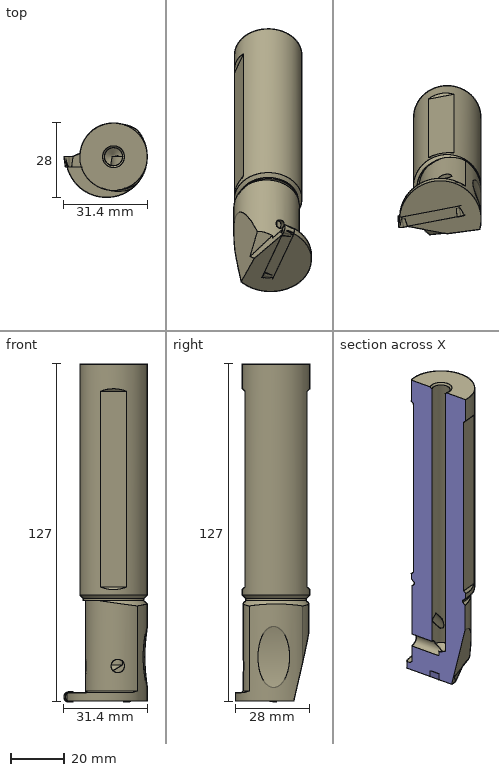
import cadquery as cq
import math

overall_length = 127.0

shank_radius = 12.7
shank_bottom = 40.2
flat_distance = 11.72
flat_bottom = 43.3
flat_top = 116.8
flat_ramp = shank_radius - flat_distance

groove_radius = 11.4
groove_top = shank_bottom - (shank_radius - groove_radius)
groove_bottom = 38.2
groove_clear = 20.0

disc_radius = 15.33
disc_x = -2.63
disc_bottom = 0.45
disc_top = 3.6
neck_radius = 12.35
neck_x = 1.75
neck_chamfer = 0.7

relief_x = 11.0
relief_y = 6.7
relief_rise_z = 0.24
relief_rise_x = 0.06

scoop_radius = 55.0
scoop_floor_x = 11.5
scoop_z = 17.0
scoop_turn = -3.4

gullet_start = (-14.5, 0.5)
gullet_slope = 0.41
gullet_roof = [
    cq.Vector(-10.5, 2.1, 4.9),
    cq.Vector(-8.6, 6.6, 7.5),
    cq.Vector(-0.6, 6.2, 3.9),
]

insert_tip_x = -18.69
insert_tail_x = 7.2
insert_width = 3.95
insert_face_y = 0.1
insert_base_y = -3.9
insert_relief = 8.0
insert_head_length = 3.5
insert_bar_top = 3.0

seat_step = 0.2

bore_radius = 3.4
bore_bottom = 14.0
bore_chamfer = 0.7
drill_point = 59.0
side_hole_radius = 2.5
side_hole_x = 1.6
side_hole_z = 13.6
nozzle_radius = 1.6
nozzle_exit = cq.Vector(-10.6, -0.9, 13.0)
nozzle_angle = 51.0
nozzle_drift = -0.15

reach = 60.0


def half_space(point, normal):
    """A large block on the side of a plane that its normal points to."""
    plane = cq.Plane(origin=point.toTuple(), normal=normal.toTuple())
    return cq.Workplane(plane).rect(2 * reach, 2 * reach).extrude(reach)


def cylinder(x, radius, bottom, top):
    """An upright cylinder with its axis on the XZ plane."""
    return cq.Workplane("XY", origin=(x, 0, bottom)).circle(radius).extrude(top - bottom)


def make_shank():
    shank = cylinder(0, shank_radius, groove_bottom, overall_length)
    flat_cutter = (
        cq.Workplane("YZ")
        .moveTo(flat_distance, flat_bottom)
        .lineTo(shank_radius, flat_bottom - flat_ramp)
        .lineTo(shank_radius, flat_top + flat_ramp)
        .lineTo(flat_distance, flat_top)
        .close()
        .extrude(shank_radius, both=True)
    )
    for turn in (0, 180):
        shank = shank.cut(flat_cutter.rotate((0, 0, 0), (0, 0, 1), turn))
    return shank


def make_head():
    disc_column = cylinder(disc_x, disc_radius, disc_bottom, shank_bottom)
    disc = cylinder(disc_x, disc_radius, disc_bottom, disc_top)
    neck = cylinder(neck_x, neck_radius, disc_bottom, shank_bottom)
    foot = cq.Workplane("XY").add(
        cq.Solid.makeCone(
            neck_radius + neck_chamfer, neck_radius, neck_chamfer, cq.Vector(neck_x, 0, disc_top)
        )
    )
    seat = (
        cq.Workplane("XY", origin=(0, insert_base_y, disc_top - seat_step))
        .rect(reach, reach)
        .extrude(neck_chamfer + seat_step)
        .translate((-reach / 2, reach / 2, 0))
    )
    skirt = disc.union(foot).cut(seat)
    return neck.union(skirt).intersect(disc_column)


def make_groove():
    return (
        cq.Workplane("XZ")
        .moveTo(groove_radius, groove_bottom)
        .lineTo(groove_radius, groove_top)
        .lineTo(shank_radius, shank_bottom)
        .lineTo(groove_clear, shank_bottom)
        .lineTo(groove_clear, groove_bottom - (groove_clear - groove_radius))
        .close()
        .revolve(360, (0, 0, 0), (0, 1, 0))
    )


def make_relief():
    head_space = cylinder(0, reach, 0, shank_bottom)
    plane_point = cq.Vector(relief_x, relief_y, disc_bottom)
    return half_space(plane_point, cq.Vector(-relief_rise_x, 1, -relief_rise_z)).intersect(head_space)


def make_scoop():
    return (
        cq.Workplane("XZ")
        .center(scoop_floor_x + scoop_radius, scoop_z)
        .circle(scoop_radius)
        .extrude(reach / 2, both=True)
        .intersect(cylinder(0, reach, disc_bottom, groove_bottom))
        .rotate((0, 0, 0), (0, 0, 1), scoop_turn)
    )


def make_gullet():
    corner_a, corner_b, corner_c = gullet_roof
    roof_normal = (corner_b - corner_a).cross(corner_c - corner_a)
    if roof_normal.z > 0:
        roof_normal = roof_normal * -1
    wall_point = cq.Vector(*gullet_start, 0)
    wall_side = half_space(wall_point, cq.Vector(-gullet_slope, 1, 0))
    return wall_side.intersect(half_space(corner_a, roof_normal))


def make_coolant_passages():
    tip_depth = bore_radius / math.tan(math.radians(drill_point))
    mouth_radius = bore_radius + bore_chamfer
    bore = (
        cq.Workplane("XZ")
        .moveTo(0, bore_bottom - tip_depth)
        .lineTo(bore_radius, bore_bottom)
        .lineTo(bore_radius, overall_length - bore_chamfer)
        .lineTo(mouth_radius, overall_length)
        .lineTo(0, overall_length)
        .close()
        .revolve(360, (0, 0, 0), (0, 1, 0))
    )
    side_hole = (
        cq.Workplane("XZ", origin=(side_hole_x, 0, side_hole_z))
        .circle(side_hole_radius)
        .extrude(shank_radius)
    )
    tilt = math.radians(nozzle_angle)
    inward = cq.Vector(math.cos(tilt), nozzle_drift, math.sin(tilt)).normalized()
    run_out = 2 * nozzle_radius
    inner_length = -nozzle_exit.x / math.cos(tilt)
    nozzle = cq.Solid.makeCylinder(
        nozzle_radius, inner_length + run_out, nozzle_exit - inward * run_out, inward
    )
    return [bore, side_hole, cq.Workplane("XY").add(nozzle)]


def make_insert_end():
    """The cutting end with its round nose at the tip and relief below the rake face."""
    nose = insert_width / 2
    height = insert_face_y - insert_base_y
    return (
        cq.Workplane("XZ", origin=(insert_tip_x, insert_face_y, nose))
        .moveTo(nose, nose)
        .threePointArc((0, 0), (nose, -nose))
        .lineTo(insert_head_length, -nose)
        .lineTo(insert_head_length, nose)
        .close()
        .extrude(height, taper=insert_relief)
    )


def make_insert():
    end_centre = (insert_tip_x + insert_tail_x) / 2
    tip_end = make_insert_end()
    tail_end = tip_end.mirror("YZ", (end_centre, 0, 0))
    bar_inset = insert_width / 2
    bar_length = insert_tail_x - insert_tip_x - 2 * bar_inset
    bar = (
        cq.Workplane("XY", origin=(end_centre, (insert_face_y + insert_base_y) / 2, disc_bottom))
        .rect(bar_length, insert_face_y - insert_base_y)
        .extrude(insert_bar_top - disc_bottom)
    )
    return bar.union(tip_end).union(tail_end)


def make_holder(insert):
    holder = make_shank().union(make_head())
    for cutter in [make_groove(), make_relief(), make_scoop(), make_gullet(), *make_coolant_passages()]:
        holder = holder.cut(cutter)
    return holder.cut(insert)


insert = make_insert()
holder = make_holder(insert)

result = cq.Compound.makeCompound([*holder.vals(), *insert.vals()])